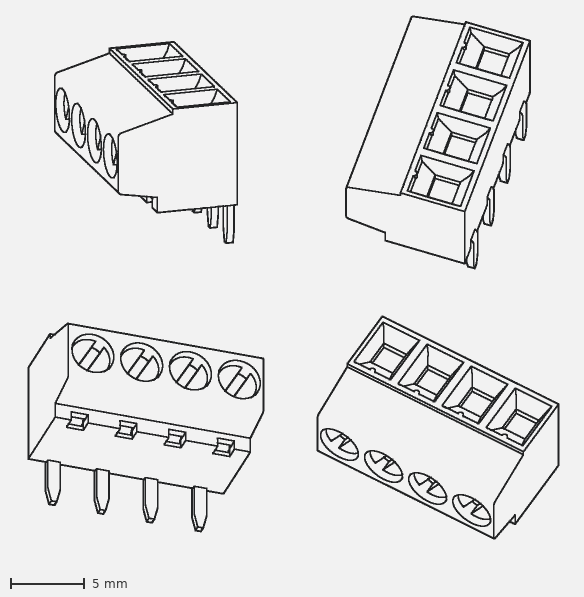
import cadquery as cq
import math


POLE_COUNT = 4
PITCH = 3.5
LENGTH = POLE_COUNT * PITCH

HOUSING_DEPTH = 8.5
HOUSING_HEIGHT = 7.3
TOP_DEPTH = 4.6
TOP_LIP = 0.355
TOP_SLOPE = 15.0
FOOT_DEPTH = 5.7
FOOT_HEIGHT = 1.1
UNDER_SLOPE = 10.0
NOSE_RADIUS = 0.3

SCREW_HEIGHT = 3.8
SCREW_HOLE_DIAMETER = 3.0
SCREW_HOLE_DEPTH = 1.5
SCREW_HOLE_FLOOR_DISH = 0.025
SCREW_HEAD_RECESS = 0.55
SCREW_HEAD_DIAMETER = 2.8
DRIVER_SLOT_WIDTH = 0.7
DRIVER_SLOT_DEPTH = 0.8
DRIVER_SLOT_ANGLE = 60.0

FUNNEL_WIDTH = 2.9
FUNNEL_REAR = 0.4
FUNNEL_LENGTH = 3.8
FUNNEL_FRONT = FUNNEL_REAR + FUNNEL_LENGTH
FUNNEL_DEPTH = 1.1
REAR_BEND_DEPTH = 0.45
REAR_BEND_INSET = 0.25
FRONT_BEND_DEPTH = 0.4
FRONT_BEND_INSET = 0.15
WIRE_HOLE_SIZE = 1.8
WIRE_HOLE_REAR = 1.2
WIRE_HOLE_FRONT = WIRE_HOLE_REAR + WIRE_HOLE_SIZE
WIRE_HOLE_DEPTH = 1.6
RIB_RADIUS = 0.2

NOTCH_WIDTH = 1.2
NOTCH_HEIGHT = 0.65
NOTCH_DEPTH = 1.0
GUSSET_WIDTH = 1.0
GUSSET_HEIGHT = 0.35
GUSSET_DEPTH = 0.4

PIN_WIDTH = 0.9
PIN_THICKNESS = 0.5
PIN_STANDOFF = 0.2
PIN_LENGTH = 3.2
PIN_TIP_WIDTH = 0.4
PIN_TIP_LENGTH = 1.0
PIN_EMBEDDED_HEIGHT = 1.15
PIN_BEND_RADIUS = 0.45


def extrude_along_x(points, width, x_center):
    """Prism of the given (y, z) outline, centred on x_center."""
    prism = cq.Workplane("YZ").polyline(points).close().extrude(width / 2, both=True)
    return prism.translate((x_center, 0, 0))


def make_housing():
    top_drop = (HOUSING_DEPTH - TOP_DEPTH) * math.tan(math.radians(TOP_SLOPE))
    under_rise = (HOUSING_DEPTH - FOOT_DEPTH) * math.tan(math.radians(UNDER_SLOPE))
    outline = [
        (0, 0),
        (0, HOUSING_HEIGHT),
        (-TOP_DEPTH, HOUSING_HEIGHT),
        (-TOP_DEPTH, HOUSING_HEIGHT - TOP_LIP),
        (-HOUSING_DEPTH, HOUSING_HEIGHT - TOP_LIP - top_drop),
        (-HOUSING_DEPTH, FOOT_HEIGHT + under_rise),
        (-FOOT_DEPTH, FOOT_HEIGHT),
        (-FOOT_DEPTH, 0),
    ]
    return extrude_along_x(outline, LENGTH, 0).faces("<Y").edges("|X").fillet(NOSE_RADIUS)


def make_screw_recess(x):
    """Cavity around a slotted screw head: recess, ring-shaped gap with a dished floor, and slot."""
    head_y = -HOUSING_DEPTH + SCREW_HEAD_RECESS
    hole_radius = SCREW_HOLE_DIAMETER / 2
    head_radius = SCREW_HEAD_DIAMETER / 2
    profile = [
        (0, 0),
        (hole_radius, 0),
        (hole_radius, SCREW_HOLE_DEPTH),
        (head_radius, SCREW_HOLE_DEPTH + SCREW_HOLE_FLOOR_DISH),
        (head_radius, SCREW_HEAD_RECESS),
        (0, SCREW_HEAD_RECESS),
    ]
    recess = cq.Workplane("XY").polyline(profile).close().revolve(360, (0, 0), (0, 1))
    recess = recess.translate((x, -HOUSING_DEPTH, SCREW_HEIGHT))
    head_plane = cq.Workplane("XZ", origin=(x, head_y, SCREW_HEIGHT))
    head = head_plane.circle(head_radius).extrude(-DRIVER_SLOT_DEPTH)
    slot = (
        head_plane.transformed(rotate=(0, 0, DRIVER_SLOT_ANGLE))
        .rect(SCREW_HOLE_DIAMETER, DRIVER_SLOT_WIDTH)
        .extrude(-DRIVER_SLOT_DEPTH)
    )
    return recess.union(slot.intersect(head))


def make_wire_entry(x):
    """Cavity of a tapered funnel that ends in a short square hole."""
    funnel_floor = HOUSING_HEIGHT - FUNNEL_DEPTH
    side_profile = [
        (-FUNNEL_REAR, HOUSING_HEIGHT),
        (-FUNNEL_REAR - REAR_BEND_INSET, HOUSING_HEIGHT - REAR_BEND_DEPTH),
        (-WIRE_HOLE_REAR, funnel_floor),
        (-WIRE_HOLE_FRONT, funnel_floor),
        (-FUNNEL_FRONT + FRONT_BEND_INSET, HOUSING_HEIGHT - FRONT_BEND_DEPTH),
        (-FUNNEL_FRONT, HOUSING_HEIGHT),
    ]
    end_profile = [
        (x - FUNNEL_WIDTH / 2, HOUSING_HEIGHT),
        (x - WIRE_HOLE_SIZE / 2, funnel_floor),
        (x + WIRE_HOLE_SIZE / 2, funnel_floor),
        (x + FUNNEL_WIDTH / 2, HOUSING_HEIGHT),
    ]
    taper = cq.Workplane("XZ").polyline(end_profile).close().extrude(HOUSING_DEPTH)
    funnel = extrude_along_x(side_profile, FUNNEL_WIDTH, x).intersect(taper)
    hole = cq.Workplane("XY").box(
        WIRE_HOLE_SIZE, WIRE_HOLE_SIZE, WIRE_HOLE_DEPTH, centered=(True, True, False)
    )
    hole_y = -(WIRE_HOLE_REAR + WIRE_HOLE_FRONT) / 2
    hole = hole.translate((x, hole_y, HOUSING_HEIGHT - WIRE_HOLE_DEPTH))
    rib = (
        cq.Workplane("XY", origin=(x, -FUNNEL_FRONT, HOUSING_HEIGHT))
        .circle(RIB_RADIUS)
        .extrude(-FUNNEL_DEPTH)
    )
    return funnel.union(hole).cut(rib)


def make_notch(x):
    """Notch cavity in the front of the foot, less a sloped gusset under its roof."""
    notch_back = -FOOT_DEPTH + NOTCH_DEPTH
    block = [
        (-FOOT_DEPTH, 0),
        (notch_back, 0),
        (notch_back, NOTCH_HEIGHT),
        (-FOOT_DEPTH, NOTCH_HEIGHT),
    ]
    gusset = [
        (notch_back, NOTCH_HEIGHT),
        (notch_back, NOTCH_HEIGHT - GUSSET_HEIGHT),
        (notch_back - GUSSET_DEPTH, NOTCH_HEIGHT),
    ]
    return extrude_along_x(block, NOTCH_WIDTH, x).cut(extrude_along_x(gusset, GUSSET_WIDTH, x))


def make_pin(x):
    """Flat pin with a tapered tip, set into the rear face and rounded at its upper rear edge."""
    outline = [
        (x - PIN_WIDTH / 2, PIN_EMBEDDED_HEIGHT),
        (x - PIN_WIDTH / 2, -PIN_LENGTH + PIN_TIP_LENGTH),
        (x - PIN_TIP_WIDTH / 2, -PIN_LENGTH),
        (x + PIN_TIP_WIDTH / 2, -PIN_LENGTH),
        (x + PIN_WIDTH / 2, -PIN_LENGTH + PIN_TIP_LENGTH),
        (x + PIN_WIDTH / 2, PIN_EMBEDDED_HEIGHT),
    ]
    rear_plane = cq.Workplane("XZ", origin=(0, PIN_STANDOFF, 0))
    blade = rear_plane.polyline(outline).close().extrude(PIN_THICKNESS)
    return blade.edges(">Y and >Z").fillet(PIN_BEND_RADIUS)


result = make_housing()
for pole in range(POLE_COUNT):
    pole_x = (pole - (POLE_COUNT - 1) / 2) * PITCH
    result = result.cut(make_wire_entry(pole_x))
    result = result.cut(make_notch(pole_x))
    result = result.cut(make_screw_recess(pole_x))
    result = result.union(make_pin(pole_x))